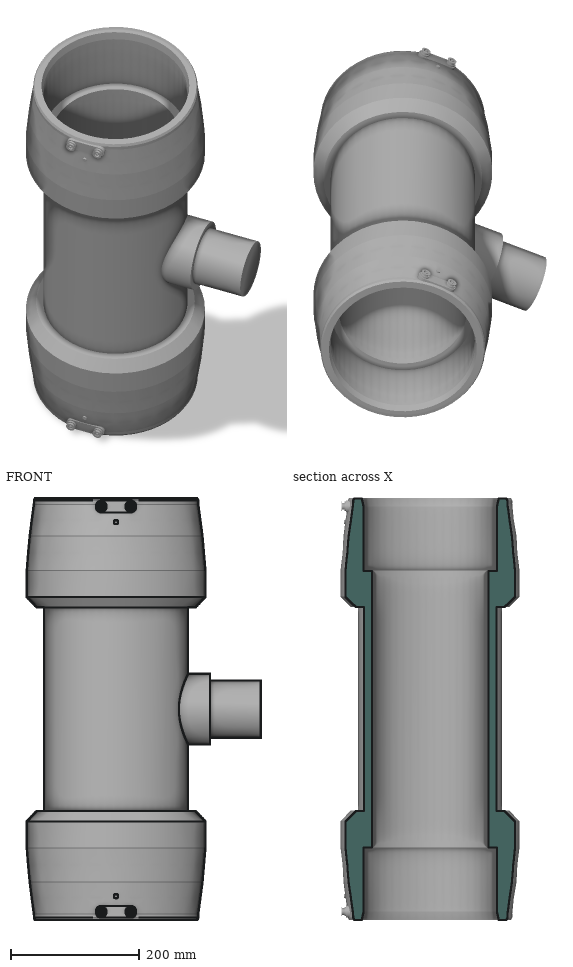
import cadquery as cq

LENGTH = 658.0
HALF_LENGTH = LENGTH / 2
PIPE_RADIUS = 112.5
BORE_RADIUS = 100.0

SLEEVE_RADIUS = 139.5
SLEEVE_DEPTH = 170.5
SHOULDER_DEPTH = 154.0
SHOULDER_RADIUS = 124.0
TAPER_DEPTH = 112.5
TAPER_MIDDLE_DEPTH = 59.0
TAPER_MIDDLE_RADIUS = 135.0
RIM_RADIUS = 128.0
RIM_BAND_DEPTH = 10.0
RIM_CHAMFER = 4.0
RIM_CHAMFER_WIDTH = 2.0

SOCKET_RADIUS = 112.5
SOCKET_DEPTH = 113.0
LEAD_IN_RADIUS = 115.0
LEAD_IN_DEPTH = 13.0

BRANCH_RADIUS = 45.0
BRANCH_END = 226.0
COLLAR_RADIUS = 55.0
COLLAR_END = 147.0

TERMINAL_SPACING = 44.0
TERMINAL_DEPTH = 13.0
PAD_RADIUS = 9.0
PAD_FACE = 131.0
TERMINAL_RADIUS = 7.0
TERMINAL_NECK_RADIUS = 5.0
TERMINAL_LOWER_FACE = 133.5
TERMINAL_FACE = 138.0
TERMINAL_LIP = 0.5
TERMINAL_BORE_RADIUS = 4.0
CONTACT_PIN_RADIUS = 2.0

INDICATOR_DEPTH = 37.5
INDICATOR_RADIUS = 3.0
INDICATOR_FACE = 134.0

FITTING_ROOT = 122.0


def along_minus_y(x, z, radius, start, end):
    """Cylinder pointing along -Y, between two distances from the XZ plane."""
    return (
        cq.Workplane("XZ", origin=(x, -start, z))
        .circle(radius)
        .extrude(end - start)
    )


def sleeve_body():
    """Upper sleeve as a solid of revolution: widening in two tapers to a chamfered shoulder."""
    return (
        cq.Workplane("XZ")
        .moveTo(0, HALF_LENGTH)
        .lineTo(RIM_RADIUS - RIM_CHAMFER_WIDTH, HALF_LENGTH)
        .lineTo(RIM_RADIUS, HALF_LENGTH - RIM_CHAMFER)
        .lineTo(RIM_RADIUS, HALF_LENGTH - RIM_BAND_DEPTH)
        .lineTo(TAPER_MIDDLE_RADIUS, HALF_LENGTH - TAPER_MIDDLE_DEPTH)
        .lineTo(SLEEVE_RADIUS, HALF_LENGTH - TAPER_DEPTH)
        .lineTo(SLEEVE_RADIUS, HALF_LENGTH - SHOULDER_DEPTH)
        .lineTo(SHOULDER_RADIUS, HALF_LENGTH - SLEEVE_DEPTH)
        .lineTo(0, HALF_LENGTH - SLEEVE_DEPTH)
        .close()
        .revolve(360, (0, 0, 0), (0, 1, 0))
    )


def socket_cavity():
    """Space inside the upper sleeve: a straight socket with a tapered lead-in."""
    return (
        cq.Workplane("XZ")
        .moveTo(0, HALF_LENGTH)
        .lineTo(LEAD_IN_RADIUS, HALF_LENGTH)
        .lineTo(SOCKET_RADIUS, HALF_LENGTH - LEAD_IN_DEPTH)
        .lineTo(SOCKET_RADIUS, HALF_LENGTH - SOCKET_DEPTH)
        .lineTo(0, HALF_LENGTH - SOCKET_DEPTH)
        .close()
        .revolve(360, (0, 0, 0), (0, 1, 0))
    )


def terminal(x, z):
    """Grooved cup with a contact pin standing in its middle."""
    neck_start = TERMINAL_LOWER_FACE
    neck_end = TERMINAL_FACE - TERMINAL_LIP
    cup = (
        along_minus_y(x, z, TERMINAL_RADIUS, FITTING_ROOT, neck_start)
        .union(along_minus_y(x, z, TERMINAL_NECK_RADIUS, neck_start, neck_end))
        .union(along_minus_y(x, z, TERMINAL_RADIUS, neck_end, TERMINAL_FACE))
    )
    hollow = along_minus_y(x, z, TERMINAL_BORE_RADIUS, PAD_FACE, TERMINAL_FACE)
    pin = along_minus_y(x, z, CONTACT_PIN_RADIUS, PAD_FACE, TERMINAL_FACE)
    return cup.cut(hollow).union(pin)


def sleeve():
    """Complete upper sleeve, without its socket."""
    terminal_z = HALF_LENGTH - TERMINAL_DEPTH
    pad = (
        cq.Workplane("XZ", origin=(0, -FITTING_ROOT, terminal_z))
        .slot2D(TERMINAL_SPACING + 2 * PAD_RADIUS, 2 * PAD_RADIUS)
        .extrude(PAD_FACE - FITTING_ROOT)
    )
    indicator = along_minus_y(
        0, HALF_LENGTH - INDICATOR_DEPTH, INDICATOR_RADIUS, FITTING_ROOT, INDICATOR_FACE
    )
    body = sleeve_body().union(pad).union(indicator)
    for side in (-1, 1):
        body = body.union(terminal(side * TERMINAL_SPACING / 2, terminal_z))
    return body


def branch():
    """Solid side branch with a wider collar where it leaves the main pipe."""
    collar = cq.Workplane("YZ").circle(COLLAR_RADIUS).extrude(COLLAR_END)
    spigot = cq.Workplane("YZ").circle(BRANCH_RADIUS).extrude(BRANCH_END)
    return collar.union(spigot)


pipe = cq.Workplane("XY").circle(PIPE_RADIUS).extrude(HALF_LENGTH - SOCKET_DEPTH, both=True)
bore = cq.Workplane("XY").circle(BORE_RADIUS).extrude(HALF_LENGTH, both=True)

upper_sleeve = sleeve()
upper_socket = socket_cavity()

result = (
    pipe.union(branch())
    .union(upper_sleeve)
    .union(upper_sleeve.mirror("XY"))
    .cut(upper_socket)
    .cut(upper_socket.mirror("XY"))
    .cut(bore)
)